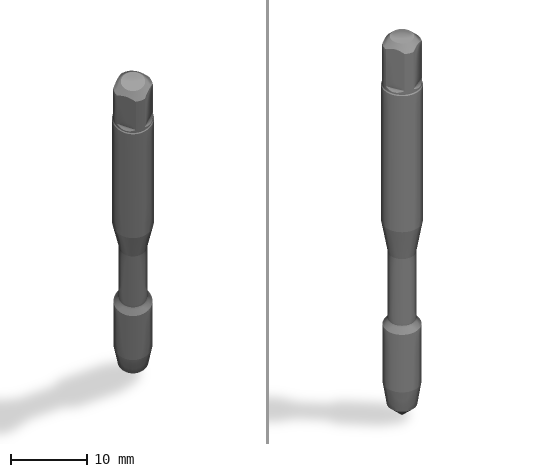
import cadquery as cq

total_length = 61.8
shank_diameter = 5.5
drive_diameter = 5.25
neck_diameter = 3.8
cutter_diameter = 5.1

drive_flats = 4.5
drive_top_diameter = 3.2
flat_bottom_z = 54.75
shank_top_z = 54.0

taper_top_z = 31.8
taper_bottom_z = 26.8

joint_z = 16.3
shoulder_top_z = 15.95
cutter_shoulder_z = 14.95
lead_top_z = 5.55
tip_diameter = 4.1

shank_chamfer = (shank_diameter - drive_diameter) / 2
drive_chamfer = (drive_diameter - drive_top_diameter) / 2
tip_height = tip_diameter / 2


def revolve_profile(points):
    """Revolve an outline of (radius, height) points about the Z axis."""
    return cq.Workplane("XZ").polyline(points).close().revolve(360, (0, 0), (0, 1))


def flat_cutter():
    """Material outside one drive flat, with a 45-degree run-out at its lower end."""
    flat_y = -drive_flats / 2
    runout = shank_diameter - drive_flats
    return (
        cq.Workplane("YZ")
        .moveTo(flat_y, flat_bottom_z)
        .lineTo(flat_y, total_length)
        .lineTo(flat_y - runout, total_length)
        .lineTo(flat_y - runout, flat_bottom_z - runout)
        .close()
        .extrude(shank_diameter / 2, both=True)
    )


def make_shank():
    """Square drive, cylindrical shank, taper and neck."""
    shank = revolve_profile([
        (0, joint_z),
        (neck_diameter / 2, joint_z),
        (neck_diameter / 2, taper_bottom_z),
        (shank_diameter / 2, taper_top_z),
        (shank_diameter / 2, shank_top_z),
        (drive_diameter / 2, shank_top_z + shank_chamfer),
        (drive_diameter / 2, total_length - drive_chamfer),
        (drive_top_diameter / 2, total_length),
        (0, total_length),
    ])
    for angle in range(0, 360, 90):
        shank = shank.cut(flat_cutter().rotate((0, 0, 0), (0, 0, 1), angle))
    return shank


def make_cutter():
    """Cutting end with a short neck stub, a shoulder cone, a tapered lead and a pointed tip."""
    return revolve_profile([
        (0, 0),
        (tip_diameter / 2, tip_height),
        (cutter_diameter / 2, lead_top_z),
        (cutter_diameter / 2, cutter_shoulder_z),
        (neck_diameter / 2, shoulder_top_z),
        (neck_diameter / 2, joint_z),
        (0, joint_z),
    ])


shank = make_shank()
cutter = make_cutter()

result = cq.Compound.makeCompound([shank.val(), cutter.val()])